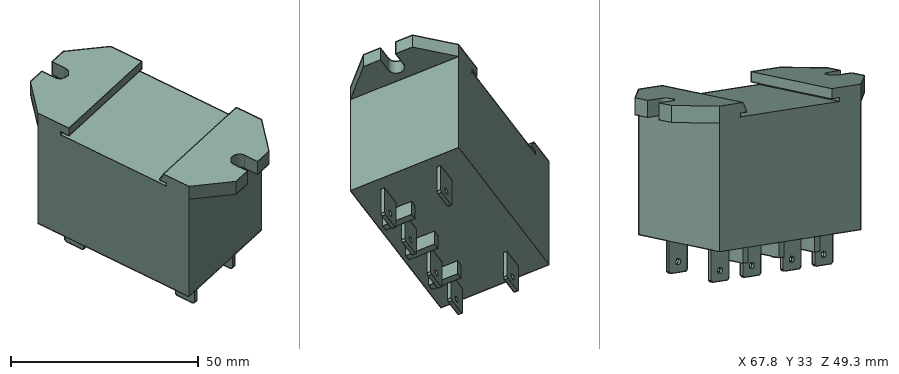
import cadquery as cq

flange_length = 67.8
depth = 33.0
body_length = 49.8
body_height = 39.5
flange_thickness = 4.6
corner_cut = (flange_length - body_length) / 2

slot_width = 4.6
slot_depth = 6.65

channel_depth = 3.8
lip_thickness = 2.8
undercut_half_length = 17.4
square_lip_x = -14.65
hook_tip_x = 15.25
hook_top_x = 16.55
hook_tip_height = 0.3

terminal_width = 6.4
terminal_thickness = 1.1
terminal_length = 9.8
terminal_bevel = 0.55
terminal_hole_diameter = 1.6
terminal_hole_drop = 6.9
terminal_row_y = 8.55
outer_terminal_x = 18.25
inner_terminal_x = 7.05

blade_thickness = 1.8
blade_width = 8.8
blade_length = 5.0
blade_spacing = 12.6


def make_housing():
    """Rectangular body with a corner-cut flange level with its top face."""
    body = cq.Workplane("XY").box(body_length, depth, body_height, centered=(True, True, False))
    flange = (
        cq.Workplane("XY")
        .workplane(offset=body_height - flange_thickness)
        .rect(flange_length, depth)
        .extrude(flange_thickness)
        .edges("|Z")
        .chamfer(corner_cut)
    )
    return body.union(flange)


def make_mounting_slots():
    """Round-ended slots running out through both ends of the flange."""
    return (
        cq.Workplane("XY")
        .workplane(offset=body_height - flange_thickness)
        .pushPoints([(-flange_length / 2, 0), (flange_length / 2, 0)])
        .slot2D(2 * slot_depth, slot_width)
        .extrude(flange_thickness)
    )


def make_rail_channel():
    """Undercut channel with a square lip on one side and a sloped hook on the other."""
    floor_z = body_height - channel_depth
    lip_z = body_height - lip_thickness
    return (
        cq.Workplane("XZ")
        .moveTo(square_lip_x, body_height)
        .lineTo(square_lip_x, lip_z)
        .lineTo(-undercut_half_length, lip_z)
        .lineTo(-undercut_half_length, floor_z)
        .lineTo(undercut_half_length, floor_z)
        .lineTo(undercut_half_length, lip_z)
        .lineTo(hook_tip_x, lip_z)
        .lineTo(hook_tip_x, lip_z + hook_tip_height)
        .lineTo(hook_top_x, body_height)
        .close()
        .extrude(depth / 2, both=True)
    )


def make_terminal(x, y):
    """Flat terminal hanging from the underside of the body."""
    plate = (
        cq.Workplane("XY")
        .box(terminal_width, terminal_thickness, terminal_length, centered=(True, True, False))
        .translate((0, 0, -terminal_length))
        .edges("|Y and <Z")
        .chamfer(terminal_bevel)
    )
    hole = (
        cq.Workplane("XZ")
        .center(0, -terminal_hole_drop)
        .circle(terminal_hole_diameter / 2)
        .extrude(terminal_thickness, both=True)
    )
    return plate.cut(hole).translate((x, y, 0))


def make_blade(x):
    """Short plain blade hanging from the underside of the body."""
    return (
        cq.Workplane("XY")
        .center(x, terminal_row_y)
        .rect(blade_thickness, blade_width)
        .extrude(-blade_length)
    )


result = make_housing().cut(make_mounting_slots()).cut(make_rail_channel())

for side in (-1, 1):
    result = result.union(make_terminal(side * outer_terminal_x, -terminal_row_y))
    result = result.union(make_terminal(side * outer_terminal_x, terminal_row_y))
    result = result.union(make_terminal(side * inner_terminal_x, terminal_row_y))

for blade_x in (-blade_spacing, 0, blade_spacing):
    result = result.union(make_blade(blade_x))